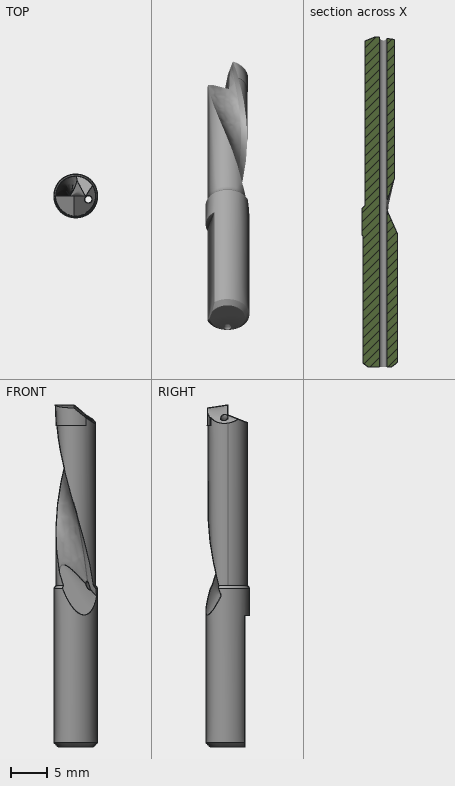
import cadquery as cq
import math

LENGTH = 47.0
SHANK_DIAMETER = 6.0
SHANK_TOP = 21.8
SHOULDER_HEIGHT = 0.38
END_CHAMFER = 0.6
BODY_RADIUS = 2.73
CUTTER_RADIUS = 5.65

FLAT_OFFSET = 2.35
FLAT_TOP = 18.05

TIP_RADIUS = 2.8
TIP_HEIGHT = 2.8
TIP_RIGHT = 1.4

TWIST_PER_UNIT = 6.17
FLUTE_WIDTH_ANGLE = 107.0
FLUTE_BOTTOM = 16.45
CUTTING_FACE_DEPTH = 0.85
FLUTE_CORE_RADIUS = 0.7

HOLE_DIAMETER = 1.0
HOLE_X = 1.75
HOLE_Y = -0.45

RUNOUT_PLANE = (25.47, -0.93, 2.25)
FRONT_RELIEF = (LENGTH, 0.0, 0.15)
CORNER_RELIEF = (46.8, -0.85, 0.15)
BACK_RELIEF = (45.65, 0.0, -0.4)
GASH_PLANE = (44.35, 0.97, 0.12)


def space_above(plane):
    """Large block resting on an inclined plane."""
    height, slope_x, slope_y = plane
    size = 2 * LENGTH
    workplane = cq.Plane(
        origin=(0, 0, height), xDir=(1, 0, slope_x), normal=(-slope_x, -slope_y, 1)
    )
    return cq.Workplane(workplane).rect(size, size).extrude(size)


def half_space(side):
    """Block on the +Y (side=1) or -Y (side=-1) half of the tool."""
    return (
        cq.Workplane("XY")
        .center(0, side * CUTTER_RADIUS / 2)
        .rect(2 * CUTTER_RADIUS, CUTTER_RADIUS)
        .extrude(2 * LENGTH)
    )


def polar(radius, angle):
    """XY point at a radius and an angle in degrees."""
    return (radius * math.cos(math.radians(angle)), radius * math.sin(math.radians(angle)))


def make_blank():
    """Round shank with its chamfer, conical shoulder and narrower body."""
    shank_radius = SHANK_DIAMETER / 2
    return (
        cq.Workplane("XZ")
        .moveTo(0, 0)
        .lineTo(shank_radius - END_CHAMFER, 0)
        .lineTo(shank_radius, END_CHAMFER)
        .lineTo(shank_radius, SHANK_TOP)
        .lineTo(BODY_RADIUS, SHANK_TOP + SHOULDER_HEIGHT)
        .lineTo(BODY_RADIUS, LENGTH)
        .lineTo(0, LENGTH)
        .close()
        .revolve(360, (0, 0, 0), (0, 1, 0))
    )


def make_tip():
    """Thin enlarged land around the cutting tip."""
    width = CUTTER_RADIUS + TIP_RIGHT
    keep = cq.Workplane("XY").box(width, CUTTER_RADIUS, LENGTH, centered=False)
    keep = keep.translate((-CUTTER_RADIUS, -CUTTER_RADIUS, LENGTH - TIP_HEIGHT))
    tip = cq.Workplane("XY", origin=(0, 0, LENGTH - TIP_HEIGHT)).circle(TIP_RADIUS)
    return tip.extrude(TIP_HEIGHT).intersect(keep)


def make_flute():
    """Twisted flute, stopped at the bottom by the inclined runout face."""
    height = LENGTH - FLUTE_BOTTOM
    twist = TWIST_PER_UNIT * height
    edge_angle = 180 + twist
    heel_angle = edge_angle - FLUTE_WIDTH_ANGLE
    middle_angle = (edge_angle + heel_angle) / 2
    profile = (
        cq.Workplane("XY", origin=(0, 0, FLUTE_BOTTOM))
        .moveTo(*polar(CUTTER_RADIUS, edge_angle))
        .lineTo(*polar(BODY_RADIUS - CUTTING_FACE_DEPTH, edge_angle))
        .threePointArc(polar(FLUTE_CORE_RADIUS, middle_angle), polar(BODY_RADIUS, heel_angle))
        .lineTo(*polar(CUTTER_RADIUS, heel_angle))
        .lineTo(*polar(CUTTER_RADIUS, middle_angle))
        .close()
    )
    return profile.twistExtrude(height, -twist).intersect(space_above(RUNOUT_PLANE))


def make_flat():
    """Block that leaves the clamping flat on the shank."""
    block = cq.Workplane("XY").box(2 * CUTTER_RADIUS, CUTTER_RADIUS, FLAT_TOP, centered=False)
    return block.translate((-CUTTER_RADIUS, FLAT_OFFSET, 0))


def grind_tip(tool):
    """Relief faces and the steep gash that form the point."""
    tool = tool.cut(space_above(FRONT_RELIEF).intersect(half_space(-1)))
    tool = tool.cut(space_above(CORNER_RELIEF).intersect(half_space(-1)))
    for plane in (BACK_RELIEF, CORNER_RELIEF, GASH_PLANE):
        tool = tool.cut(space_above(plane).intersect(half_space(1)))
    return tool


result = make_blank().union(make_tip()).cut(make_flute()).cut(make_flat())
result = grind_tip(result)
hole = cq.Workplane("XY").center(HOLE_X, HOLE_Y).circle(HOLE_DIAMETER / 2).extrude(LENGTH)
result = result.cut(hole)